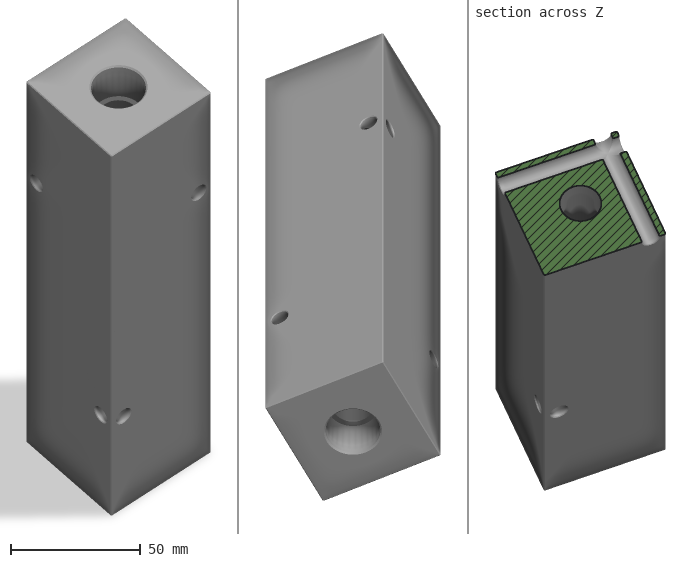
import cadquery as cq

length = 209.5
side = 50.7

bore_diameter = 16.0
port_floor_diameter = 20.1
port_taper = 1 / 16
port_depth = 16.8
port_chamfer_diameter = 22.5
port_chamfer_depth = 0.6
port_mouth_diameter = port_floor_diameter + port_taper * (port_depth - port_chamfer_depth)

edge_chamfer = 0.38

cross_hole_diameter = 7.1
cross_hole_mouth_diameter = 7.8
hole_edge_distance = 6.3
hole_end_distance = 53.9
hole_offset = side / 2 - hole_edge_distance
hole_height = length / 2 - hole_end_distance


def bore_and_ports():
    """Solid of revolution about Z that cuts the bore and both of its ports."""
    end = length / 2
    port_floor = end - port_depth
    upper_half = (
        cq.Workplane("XZ")
        .lineTo(bore_diameter / 2, 0)
        .lineTo(bore_diameter / 2, port_floor)
        .lineTo(port_floor_diameter / 2, port_floor)
        .lineTo(port_mouth_diameter / 2, end - port_chamfer_depth)
        .lineTo(port_chamfer_diameter / 2, end)
        .lineTo(0, end)
        .close()
        .revolve(360, (0, 0, 0), (0, 1, 0))
    )
    return upper_half.union(upper_half.mirror("XY"))


def cross_hole_cutter(plane, upper_side):
    """Upper and lower through holes, normal to the plane, at diagonally opposite edges.

    upper_side is the sign of the upper hole's offset along the plane's horizontal axis.
    """
    chamfer = (cross_hole_mouth_diameter - cross_hole_diameter) / 2
    half_drill = (
        cq.Workplane("XY")
        .lineTo(cross_hole_diameter / 2, 0)
        .lineTo(cross_hole_diameter / 2, side / 2 - chamfer)
        .lineTo(cross_hole_mouth_diameter / 2, side / 2)
        .lineTo(0, side / 2)
        .close()
        .revolve(360, (0, 0, 0), (0, 1, 0))
    )
    drill = half_drill.union(half_drill.mirror("XZ")).rotate((0, 0, 0), (1, 0, 0), 90).val()
    places = [(upper_side * hole_offset, hole_height), (-upper_side * hole_offset, -hole_height)]
    return cq.Workplane(plane).pushPoints(places).eachpoint(lambda place: drill.moved(place), True)


block = cq.Workplane("XY").box(side, side, length).edges().chamfer(edge_chamfer)
result = (
    block.cut(bore_and_ports())
    .cut(cross_hole_cutter("XZ", -1))
    .cut(cross_hole_cutter("YZ", 1))
)